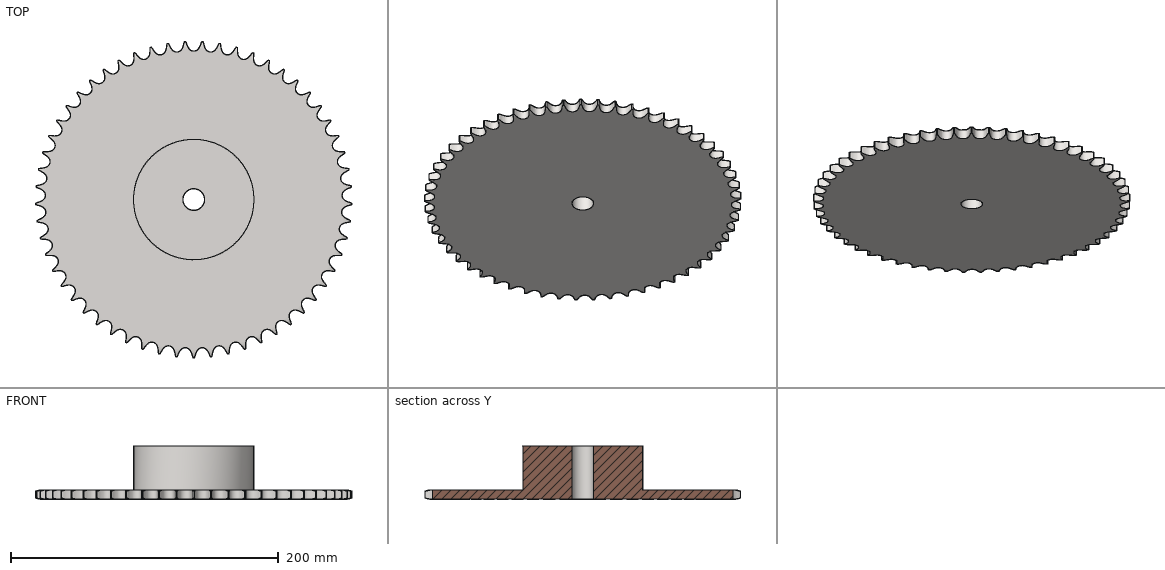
import cadquery as cq
import math

CHAIN_PITCH = 12.7
ROLLER_DIAMETER = 8.51

TOOTH_COUNT = 57
TIP_DIAMETER = 236.41
PLATE_THICKNESS = 7.2
TOTAL_HEIGHT = 40.0
HUB_DIAMETER = 90.0
BORE_DIAMETER = 16.0

ROUNDING_START_RADIUS = 112.5
ROUNDING_RADIUS = 16.0
CLEARANCE = 1.0

SEAT_RADIUS = 0.5025 * ROLLER_DIAMETER + 0.05
SEAT_HALF_ANGLE = math.radians(55 - 60 / TOOTH_COUNT)
WORKING_RADIUS = 1.3025 * ROLLER_DIAMETER + 0.05
WORKING_ANGLE = math.radians(18 - 56 / TOOTH_COUNT)
TIP_ARC_ANGLE = math.radians(17 - 64 / TOOTH_COUNT)
STRAIGHT_LENGTH = ROLLER_DIAMETER * (1.3 * math.sin(TIP_ARC_ANGLE) - 0.8 * math.sin(WORKING_ANGLE))
TIP_ARC_RADIUS = (
    ROLLER_DIAMETER * (1.3 * math.cos(TIP_ARC_ANGLE) + 0.8 * math.cos(WORKING_ANGLE) - 1.3025) - 0.05
)

TOOTH_ANGLE = 2 * math.pi / TOOTH_COUNT
PITCH_RADIUS = CHAIN_PITCH / math.sin(TOOTH_ANGLE / 2) / 2
ROOT_RADIUS = PITCH_RADIUS - SEAT_RADIUS
TIP_RADIUS = TIP_DIAMETER / 2
FIRST_GAP_ANGLE = math.pi / 2


def polar(radius, angle):
    """Point at the given radius and angle (radians) about the sprocket axis."""
    return (radius * math.cos(angle), radius * math.sin(angle))


def offset(point, distance, angle):
    """Point moved by a distance, at an angle from straight inwards along the gap centre line."""
    outward, sideways = point
    return (outward - distance * math.cos(angle), sideways + distance * math.sin(angle))


def flank_places():
    """Points from the seat middle to the tip, as (radius, angle from the gap centre line)."""
    flank_angle = SEAT_HALF_ANGLE + WORKING_ANGLE
    seat_center = (PITCH_RADIUS, 0)
    seat_middle = offset(seat_center, SEAT_RADIUS, SEAT_HALF_ANGLE / 2)
    seat_end = offset(seat_center, SEAT_RADIUS, SEAT_HALF_ANGLE)

    working_center = offset(seat_end, -WORKING_RADIUS, SEAT_HALF_ANGLE)
    working_middle = offset(working_center, WORKING_RADIUS, SEAT_HALF_ANGLE + WORKING_ANGLE / 2)
    working_end = offset(working_center, WORKING_RADIUS, flank_angle)

    straight_end = offset(working_end, STRAIGHT_LENGTH, flank_angle + math.pi / 2)

    arc_center = offset(straight_end, TIP_ARC_RADIUS, flank_angle)
    center_distance = math.hypot(*arc_center)
    center_angle = math.atan2(arc_center[1], arc_center[0])

    def on_tip_arc(radius):
        squares = radius**2 + center_distance**2 - TIP_ARC_RADIUS**2
        return (radius, center_angle - math.acos(squares / (2 * radius * center_distance)))

    straight_end_radius = math.hypot(*straight_end)
    lower_places = [
        (math.hypot(outward, sideways), math.atan2(sideways, outward))
        for outward, sideways in (
            seat_middle,
            seat_end,
            working_middle,
            working_end,
            straight_end,
        )
    ]
    return lower_places + [on_tip_arc((straight_end_radius + TIP_RADIUS) / 2), on_tip_arc(TIP_RADIUS)]


def tooth_sector():
    """Straight-sided sector with one tooth, from the axis out, between two gap centre lines."""
    start_gap = FIRST_GAP_ANGLE
    end_gap = start_gap + TOOTH_ANGLE
    tooth_middle = start_gap + TOOTH_ANGLE / 2
    places = flank_places()
    rising = [polar(radius, start_gap + angle) for radius, angle in places]
    falling = [polar(radius, end_gap - angle) for radius, angle in places]
    seat_mid_1, seat_end_1, working_mid_1, working_end_1, straight_end_1, tip_arc_mid_1, tip_1 = rising
    seat_mid_2, seat_end_2, working_mid_2, working_end_2, straight_end_2, tip_arc_mid_2, tip_2 = falling
    return (
        cq.Workplane("XY", origin=(0, 0, -CLEARANCE))
        .lineTo(*polar(ROOT_RADIUS, start_gap))
        .threePointArc(seat_mid_1, seat_end_1)
        .threePointArc(working_mid_1, working_end_1)
        .lineTo(*straight_end_1)
        .threePointArc(tip_arc_mid_1, tip_1)
        .threePointArc(polar(TIP_RADIUS, tooth_middle), tip_2)
        .threePointArc(tip_arc_mid_2, straight_end_2)
        .lineTo(*working_end_2)
        .threePointArc(working_mid_2, seat_end_2)
        .threePointArc(seat_mid_2, polar(ROOT_RADIUS, end_gap))
        .close()
        .extrude(PLATE_THICKNESS + 2 * CLEARANCE)
    )


def rounded_disc():
    """Disc, slightly larger than the tips, rounded on both sides by arcs tangent to its faces."""

    def drop(run):
        return ROUNDING_RADIUS - math.sqrt(ROUNDING_RADIUS**2 - run**2)

    rim_radius = TIP_RADIUS + CLEARANCE
    run = rim_radius - ROUNDING_START_RADIUS
    middle_radius = ROUNDING_START_RADIUS + run / 2
    middle_drop = drop(run / 2)
    rim_drop = drop(run)
    return (
        cq.Workplane("XZ")
        .lineTo(ROUNDING_START_RADIUS, 0)
        .threePointArc((middle_radius, middle_drop), (rim_radius, rim_drop))
        .lineTo(rim_radius, PLATE_THICKNESS - rim_drop)
        .threePointArc(
            (middle_radius, PLATE_THICKNESS - middle_drop),
            (ROUNDING_START_RADIUS, PLATE_THICKNESS),
        )
        .lineTo(0, PLATE_THICKNESS)
        .close()
        .revolve(360, (0, 0, 0), (0, 1, 0))
    )


def toothed_plate():
    """Full plate, joined from copies of one rounded tooth sector turned about the axis."""
    sector = tooth_sector().intersect(rounded_disc()).solids().val()
    axis_start = cq.Vector(0, 0, 0)
    axis_end = cq.Vector(0, 0, 1)
    sectors = [
        sector.rotate(axis_start, axis_end, math.degrees(index * TOOTH_ANGLE))
        for index in range(TOOTH_COUNT)
    ]
    return cq.Workplane("XY").newObject([sectors[0].fuse(*sectors[1:]).clean()])


def cylinder(diameter):
    """Cylinder on the sprocket axis over the full height."""
    return cq.Workplane("XY").circle(diameter / 2).extrude(TOTAL_HEIGHT)


result = toothed_plate().union(cylinder(HUB_DIAMETER)).cut(cylinder(BORE_DIAMETER))